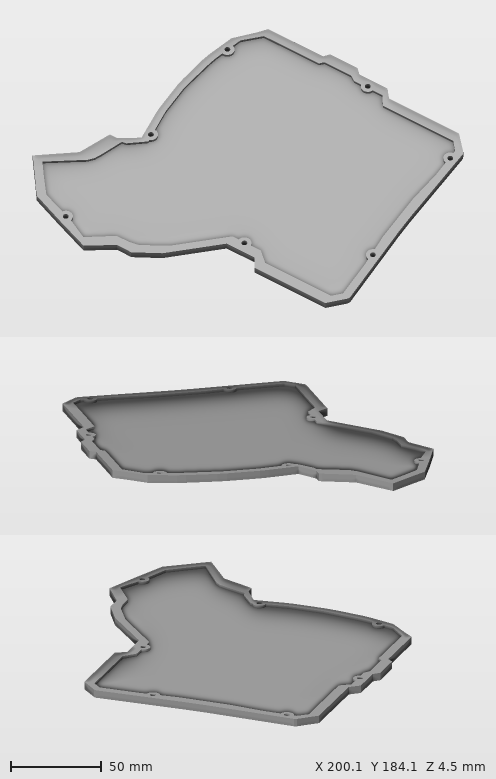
import cadquery as cq

plate_thickness = 4.5
pocket_depth = 1.6

hole_diameter = 3.2
boss_diameter = 7.8
hole_centers = [
    (130.9, 176.5),
    (195.7, 158.5),
    (195.1, 79.3),
    (130.9, 48.6),
    (37.8, 12.0),
    (47.5, 84.9),
    (51.8, 157.1),
]

tab_top = 184.1
upper_edge = 181.0
shoulder_top = 175.5
shoulder_bottom = 37.0
lower_edge = 43.0
right_side = 200.1
corner_x = 190.7
step_x = 140.9
slope_x = 122.9

shoulder_wall = 6.0
upper_wall = 5.5
tab_wall = 6.2

pocket_upper_edge = upper_edge - upper_wall
pocket_tab_top = tab_top - tab_wall
pocket_shoulder_top = shoulder_top - shoulder_wall
pocket_shoulder_bottom = shoulder_bottom + shoulder_wall
pocket_lower_edge = lower_edge + shoulder_wall

plate_outline = [
    (63.5, upper_edge),
    (99.0, upper_edge),
    (101.5, tab_top),
    (119.5, tab_top),
    (122.7, upper_edge),
    (step_x, upper_edge),
    (145.3, shoulder_top),
    (corner_x, shoulder_top),
    (199.5, 166.0),
    (right_side, 164.5),
    (198.7, 112.0),
    (198.7, 100.0),
    (right_side, 47.6),
    (199.5, 46.2),
    (corner_x, shoulder_bottom),
    (144.7, shoulder_bottom),
    (step_x, lower_edge),
    (slope_x, lower_edge),
    (96.5, 18.6),
    (81.5, 10.0),
    (76.9, 10.2),
    (72.3, 10.2),
    (56.8, 0),
    (36.2, 7.8),
    (16.6, 15.6),
    (9.6, 25.2),
    (0, 38.0),
    (20.6, 53.6),
    (27.6, 71.2),
    (28.5, 72.9),
    (33.2, 72.9),
    (44.2, 80.3),
    (42.0, 97.9),
    (41.6, 102.7),
    (41.6, 121.5),
    (42.0, 126.9),
    (44.2, 144.3),
    (45.2, 149.1),
    (49.6, 164.7),
    (59.5, 175.7),
]

pocket_outline = [
    (64.0, pocket_upper_edge),
    (99.7, pocket_upper_edge),
    (101.9, pocket_tab_top),
    (119.0, pocket_tab_top),
    (122.7, pocket_upper_edge),
    (step_x, pocket_upper_edge),
    (145.1, pocket_shoulder_top),
    (corner_x, pocket_shoulder_top),
    (195.3, 164.1),
    (195.1, 144.5),
    (193.3, 124.0),
    (193.1, 93.3),
    (195.0, 71.0),
    (195.3, 47.8),
    (corner_x, pocket_shoulder_bottom),
    (148.0, pocket_shoulder_bottom),
    (141.3, pocket_lower_edge),
    (slope_x, pocket_lower_edge),
    (96.9, 25.0),
    (82.5, 16.6),
    (77.0, 15.6),
    (68.6, 15.5),
    (53.6, 5.0),
    (41.6, 11.2),
    (20.8, 19.0),
    (13.2, 28.6),
    (6.8, 37.2),
    (23.5, 48.8),
    (27.0, 51.2),
    (29.8, 54.5),
    (31.8, 59.0),
    (36.6, 72.0),
    (39.2, 72.5),
    (48.8, 80.0),
    (46.5, 97.9),
    (45.8, 102.7),
    (45.8, 121.5),
    (46.5, 126.9),
    (48.8, 144.3),
    (49.8, 149.1),
    (54.6, 166.1),
]


def make_prism(outline, height):
    """Straight-sided solid with the given outline, standing on Z = 0."""
    return cq.Workplane("XY").polyline(outline).close().extrude(height)


def make_pins(diameter, height):
    """One upright cylinder at every screw hole."""
    return cq.Workplane("XY").pushPoints(hole_centers).circle(diameter / 2).extrude(height)


bosses = make_pins(boss_diameter, pocket_depth)
pocket = make_prism(pocket_outline, pocket_depth).cut(bosses)
floor_height = plate_thickness - pocket_depth

result = (
    make_prism(plate_outline, plate_thickness)
    .cut(pocket.translate((0, 0, floor_height)))
    .cut(make_pins(hole_diameter, plate_thickness))
)